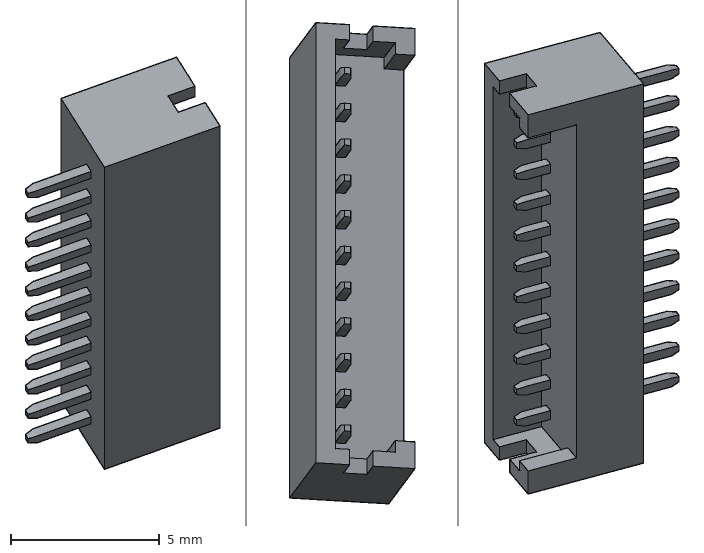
import cadquery as cq

housing_width = 3.4
housing_depth = 4.3
housing_length = 15.4

cavity_depth = 1.8
side_wall = 0.68
end_wall = 0.54
cavity_floor = housing_depth - cavity_depth

window_end_margin = 0.94

notch_width = 0.8
notch_depth = 1.0
notch_offset = 0.14

pin_count = 11
pin_row_length = 12.5
pin_pitch = pin_row_length / (pin_count - 1)
pin_offset = 0.5
pin_size = 0.35
pin_tip_size = 0.22
pin_tip_length = 0.31
pin_tail_length = 2.31
pin_top_recess = 0.57


def box(x_range, y_range, z_range):
    """Axis-aligned block given by its lower and upper limits on each axis."""
    ranges = (x_range, y_range, z_range)
    sizes = [upper - lower for lower, upper in ranges]
    corner = tuple(lower for lower, upper in ranges)
    return cq.Workplane("XY").box(*sizes, centered=False).translate(corner)


def centred_range(size, centre=0.0):
    return (centre - size / 2, centre + size / 2)


def make_housing():
    opening_y = (cavity_floor, housing_depth)
    body = box(centred_range(housing_width), (0, housing_depth), centred_range(housing_length))
    cavity = box(
        centred_range(housing_width - 2 * side_wall),
        opening_y,
        centred_range(housing_length - 2 * end_wall),
    )
    window = box(
        (-housing_width / 2, 0),
        opening_y,
        centred_range(housing_length - 2 * window_end_margin),
    )
    notch = box(
        centred_range(notch_width, notch_offset),
        (housing_depth - notch_depth, housing_depth),
        centred_range(housing_length),
    )
    return body.cut(cavity).cut(window).cut(notch)


def make_pin_tip(base_y, direction):
    """Tapered square end starting at base_y and pointing along direction (+1 or -1) in Y."""
    plane = cq.Plane(origin=(0, base_y, 0), xDir=(1, 0, 0), normal=(0, direction, 0))
    return (
        cq.Workplane(plane)
        .rect(pin_size, pin_size)
        .workplane(offset=pin_tip_length)
        .rect(pin_tip_size, pin_tip_size)
        .loft()
    )


def make_pin():
    shank_start = pin_tip_length - pin_tail_length
    shank_end = housing_depth - pin_top_recess - pin_tip_length
    shank = box(centred_range(pin_size), (shank_start, shank_end), centred_range(pin_size))
    return shank.union(make_pin_tip(shank_start, -1)).union(make_pin_tip(shank_end, 1))


result = make_housing()
pin = make_pin()
for index in range(pin_count):
    pin_z = index * pin_pitch - pin_row_length / 2
    result = result.union(pin.translate((pin_offset, 0, pin_z)))